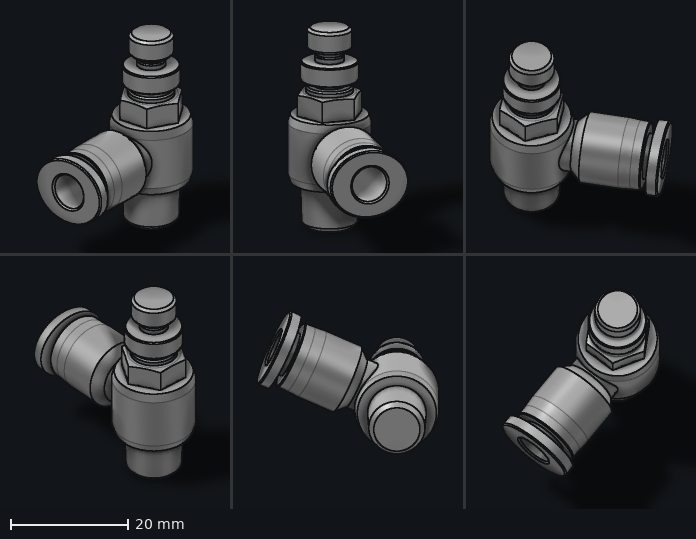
import cadquery as cq
import math

TOTAL_HEIGHT = 35.5
THREAD_CHAMFER_TOP = 0.85
BARREL_BOTTOM = 8.0
BARREL_TOP = 20.02
HEX_TOP = 24.05
COLLAR_TOP = 25.0
NUT_BOTTOM = 26.05
NUT_TOP = 29.5
STEM_RING_TOP = 30.6
KNOB_BOTTOM = 31.52

CORE_RADIUS = 5.0
THREAD_END_RADIUS = 4.8
THREAD_CHAMFER = THREAD_CHAMFER_TOP
HEX_ACROSS_FLATS = 2 * CORE_RADIUS
HEX_CORNER_RADIUS = HEX_ACROSS_FLATS / math.sqrt(3)
HEX_CROWN_RADIUS = 4.58
HEX_CROWN_DROP = 0.32
COLLAR_RADIUS = 4.05
COLLAR_CHAMFER = 0.32
STEM_RADIUS = 2.5
STEM_CHAMFER = 0.25
NUT_RADIUS = CORE_RADIUS
NUT_CHAMFER = 0.2
KNOB_NECK_RADIUS = 2.2
KNOB_RADIUS = 3.87
KNOB_CHAMFER = 0.5

BARREL_RADIUS = 7.2
BARREL_END_RADIUS = 6.75
BARREL_CHAMFER_HEIGHT = 1.45
PORT_AXIS_Z = 14.15

NECK_END = 7.65
SHOULDER_END = 9.4
PORT_TAPER_START = 16.15
PORT_TAPER_END = 18.18
PORT_END = 20.0
FLANGE_START = 21.15
FLANGE_END = 23.18

NECK_RADIUS = 4.5
PORT_RADIUS = 6.18
PORT_TAPER_RADIUS = 6.05
PORT_END_RADIUS = 5.95
PORT_END_CHAMFER = 0.18
SLEEVE_RADIUS = 3.95
FLANGE_HALF_WIDTH = 7.0
FLANGE_HALF_HEIGHT = 5.95
FLANGE_CHAMFER = 0.25
TUBE_HOLE_RADIUS = 3.1
TUBE_HOLE_CHAMFER = 0.32
TUBE_HOLE_FLOOR = SHOULDER_END


def revolve_upright(points):
    """Revolve a closed (radius, height) outline about the vertical axis."""
    return cq.Workplane("XZ").polyline(points).close().revolve(360, (0, 0, 0), (0, 1, 0))


def revolve_port(points):
    """Revolve a closed (radius, distance toward -Y) outline about the port axis."""
    outline = [(radius, -distance) for radius, distance in points]
    turned = cq.Workplane("XY").polyline(outline).close().revolve(360, (0, 0, 0), (0, 1, 0))
    return turned.translate((0, 0, PORT_AXIS_Z))


def disc(radius, bottom, top):
    return cq.Workplane("XY").workplane(offset=bottom).circle(radius).extrude(top - bottom)


def make_thread():
    """Tapered thread with a chamfered end, and the shank through the barrel."""
    return revolve_upright([
        (0, 0),
        (THREAD_END_RADIUS - THREAD_CHAMFER, 0),
        (THREAD_END_RADIUS, THREAD_CHAMFER_TOP),
        (CORE_RADIUS, BARREL_BOTTOM),
        (CORE_RADIUS, BARREL_TOP),
        (0, BARREL_TOP),
    ])


def make_hexagon():
    """Hexagon with corners on X, crowned by a shallow cone."""
    prism = (
        cq.Workplane("XY").workplane(offset=BARREL_TOP)
        .polygon(6, 2 * HEX_CORNER_RADIUS).extrude(HEX_TOP - BARREL_TOP)
    )
    crown = revolve_upright([
        (0, BARREL_TOP),
        (HEX_CORNER_RADIUS, BARREL_TOP),
        (HEX_CORNER_RADIUS, HEX_TOP - HEX_CROWN_DROP),
        (HEX_CROWN_RADIUS, HEX_TOP),
        (0, HEX_TOP),
    ])
    return prism.intersect(crown)


def make_core():
    """Threaded shank, hexagon, lock nut and knob as one body."""
    collar = disc(COLLAR_RADIUS, HEX_TOP, COLLAR_TOP).faces(">Z").chamfer(COLLAR_CHAMFER)
    stem = disc(STEM_RADIUS, COLLAR_TOP, STEM_RING_TOP).faces(">Z").chamfer(STEM_CHAMFER)
    nut = disc(NUT_RADIUS, NUT_BOTTOM, NUT_TOP).edges().chamfer(NUT_CHAMFER)
    knob_neck = disc(KNOB_NECK_RADIUS, STEM_RING_TOP, KNOB_BOTTOM)
    knob = disc(KNOB_RADIUS, KNOB_BOTTOM, TOTAL_HEIGHT).edges().chamfer(KNOB_CHAMFER)
    core = make_thread()
    for section in (make_hexagon(), collar, stem, nut, knob_neck, knob):
        core = core.union(section)
    return core


def make_barrel():
    """Cylinder with a steep cone at each end."""
    return revolve_upright([
        (0, BARREL_BOTTOM),
        (BARREL_END_RADIUS, BARREL_BOTTOM),
        (BARREL_RADIUS, BARREL_BOTTOM + BARREL_CHAMFER_HEIGHT),
        (BARREL_RADIUS, BARREL_TOP - BARREL_CHAMFER_HEIGHT),
        (BARREL_END_RADIUS, BARREL_TOP),
        (0, BARREL_TOP),
    ])


def make_port():
    """Neck, shoulder, tube housing and the release sleeve behind its flange."""
    return revolve_port([
        (0, 0),
        (NECK_RADIUS, 0),
        (NECK_RADIUS, NECK_END),
        (PORT_RADIUS, SHOULDER_END),
        (PORT_RADIUS, PORT_TAPER_START),
        (PORT_TAPER_RADIUS, PORT_TAPER_END),
        (PORT_END_RADIUS, PORT_END - PORT_END_CHAMFER),
        (PORT_END_RADIUS - PORT_END_CHAMFER, PORT_END),
        (SLEEVE_RADIUS, PORT_END),
        (SLEEVE_RADIUS, FLANGE_START),
        (0, FLANGE_START),
    ])


def make_flange():
    """Elliptical push flange of the release sleeve."""
    return (
        cq.Workplane("XZ", origin=(0, -FLANGE_START, PORT_AXIS_Z))
        .ellipse(FLANGE_HALF_WIDTH, FLANGE_HALF_HEIGHT)
        .extrude(FLANGE_END - FLANGE_START)
        .faces("<Y").chamfer(FLANGE_CHAMFER)
    )


def make_tube_hole():
    """Blind tube hole with a chamfered mouth, as a cutting shape."""
    return revolve_port([
        (0, TUBE_HOLE_FLOOR),
        (TUBE_HOLE_RADIUS, TUBE_HOLE_FLOOR),
        (TUBE_HOLE_RADIUS, FLANGE_END - TUBE_HOLE_CHAMFER),
        (TUBE_HOLE_RADIUS + TUBE_HOLE_CHAMFER, FLANGE_END),
        (0, FLANGE_END),
    ])


def make_elbow():
    """Barrel and tube port as one body, bored for the core's shank."""
    shank_bore = disc(CORE_RADIUS, BARREL_BOTTOM, BARREL_TOP)
    elbow = make_barrel().union(make_port()).union(make_flange())
    return elbow.cut(make_tube_hole()).cut(shank_bore)


core = make_core()
elbow = make_elbow()

result = cq.Compound.makeCompound([core.solids().val(), elbow.solids().val()])